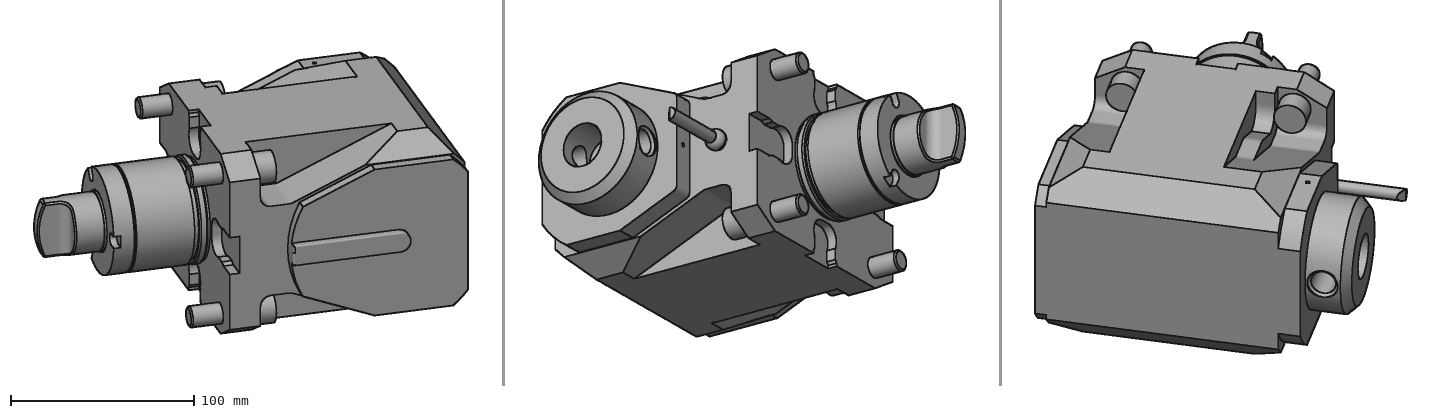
import cadquery as cq
import math


body_half_x = 65.0
body_half_z = 54.0
body_back = 134.0
flange_thick = 17.5
corner_run_x = 16.9
corner_angle = 30.0
back_chamfer = 15.7
side_half_z = body_half_z - corner_run_x * math.tan(math.radians(corner_angle))

slope_angle = 22.5
slope_start = 100.7
pocket_half_x = 37.3
pocket_floor_z = 26.8
pocket_floor_radius = 7.0
pocket_wall_radius = 6.0
slope_ratio = math.tan(math.radians(slope_angle))

ledge_inner_x = -26.8
ledge_z = 42.5
ledge_front = 54.0
ledge_low_z = 34.6
ledge_wall_y = 24.0
ledge_radius = 10.5

cut_margin = 11.2
overlap = 2.2

keyway_depth = 5.6
keyway_end = 31.5
keyway_end_half = 10.8
keyway_end_length = 16.9
keyway_end_radius = 8.3
keyway_neck_half = 10.0
keyway_mouth_half = 11.0
keyway_flare_start = 50.4
keyway_flare_end_z = 52.2
keyway_flare_end_x = 53.5

cross_axis_y = 90.1
plate_half_z = 43.8
left_plate_thick = 12.4
left_plate_front = 45.0
left_plate_radius = 52.0
left_plate_slant_start = 82.5
plate_corner_radius = 3.4
right_plate_thick = 6.3
right_plate_radius = 56.6
right_plate_centre_y = 89.7
right_plate_slant_start = 80.7
plate_pin_hole_dia = 2.1
plate_pin_hole_depth = 2.2

bar_width = 12.0
bar_thick = 4.3
bar_back = 100.3
bar_edge_radius = 1.0

knob_dia = 65.2
knob_length = 25.0
knob_chamfer = 5.2
knob_bore_dia = 25.2
knob_cross_dia = 14.0
knob_cross_mouth_dia = 17.0
knob_cross_offset = 9.7

pin_y = 26.3
pin_dia = 7.0
pin_tip_x = -111.0
pin_bevel_length = 4.0
pin_base_dia = 12.0
pin_base_offset = 1.8

screw_x = 47.0
screw_z = 42.0
screw_dia = 12.0
screw_reach = 18.0
screw_tip_chamfer = 1.0
head_dia = 18.0
head_height = 12.0

spindle_radius = 30.0
ring_radius = 30.1
neck_radius = 29.0
groove_radius = 27.7
neck_end = 1.3
ring_start = 2.2
ring_end = 6.3
ring_chamfer = 1.0
barrel_start = 9.2
vee_centre = 43.0
vee_depth = 0.7
collar_face = 55.3
shaft_dia = 33.0
shaft_radius = shaft_dia / 2
shaft_neck_radius = 16.2
shaft_neck_end = 56.5
shaft_clearance = 0.79
shaft_clearance_depth = 1.1
shaft_end = 73.3
shaft_chamfer = 1.0
notch_width = 7.0
notch_centre_radius = 25.5
notch_depth = 4.0
notch_count = 3

tang_thick = 7.9
tang_fillet = 6.0
tang_tip = 90.8
tang_shoulder = 86.3
tang_corner = 1.1


def box_between(x0, x1, y0, y1, z0, z1):
    size = (x1 - x0, y1 - y0, z1 - z0)
    return cq.Workplane("XY").box(*size, centered=False).translate((x0, y0, z0))


def x_prism(outline, x0, x1):
    """Extrude a closed (Y, Z) outline from x0 to x1."""
    return cq.Workplane("YZ").workplane(offset=x0).polyline(outline).close().extrude(x1 - x0)


def round_edge(solid, point, radius):
    return solid.edges(cq.NearestToPointSelector(point)).fillet(radius)


def x_cylinder(dia, x0, x1, y):
    return cq.Workplane("YZ", origin=(x0, y, 0)).circle(dia / 2).extrude(x1 - x0)


def housing():
    block = box_between(-body_half_x, body_half_x, 0, body_back, -body_half_z, body_half_z)
    block = block.faces(">Y").edges("|X").chamfer(back_chamfer)
    flat_half_x = body_half_x - corner_run_x
    octagon = [
        (-flat_half_x, body_half_z),
        (flat_half_x, body_half_z),
        (body_half_x, side_half_z),
        (body_half_x, -side_half_z),
        (flat_half_x, -body_half_z),
        (-flat_half_x, -body_half_z),
        (-body_half_x, -side_half_z),
        (-body_half_x, side_half_z),
    ]
    envelope = cq.Workplane("XZ").polyline(octagon).close().extrude(-body_back)
    return block.intersect(envelope)


def slope_y(z):
    """Y where the main pocket slope reaches height z."""
    return slope_start - (body_half_z - z) / slope_ratio


def relief_pocket():
    """Cutter for the upper +X pocket."""
    top = body_half_z + cut_margin
    outer = body_half_x + cut_margin
    middle = (pocket_half_x + outer) / 2
    floor_back = slope_y(pocket_floor_z)
    outline = [
        (slope_y(top), top),
        (floor_back, pocket_floor_z),
        (flange_thick, pocket_floor_z),
        (flange_thick, top),
    ]
    cutter = x_prism(outline, pocket_half_x, outer)
    cutter = round_edge(cutter, (middle, floor_back, pocket_floor_z), pocket_floor_radius)
    return round_edge(cutter, (middle, flange_thick, pocket_floor_z), pocket_wall_radius)


def ledge_pocket():
    """Cutter for the stepped ledge, overlapping the upper -X pocket."""
    top = body_half_z + cut_margin
    outer = -pocket_half_x - overlap
    middle = (outer + ledge_inner_x) / 2
    ledge_back = slope_y(ledge_z)
    low_back = ledge_front - (ledge_z - ledge_low_z) / slope_ratio
    outline = [
        (slope_y(top), top),
        (ledge_back, ledge_z),
        (ledge_front, ledge_z),
        (low_back, ledge_low_z),
        (ledge_wall_y, ledge_low_z),
        (ledge_wall_y, top),
    ]
    cutter = x_prism(outline, outer, ledge_inner_x)
    cutter = round_edge(cutter, (middle, ledge_back, ledge_z), ledge_radius)
    cutter = round_edge(cutter, (middle, ledge_front, ledge_z), ledge_radius)
    return round_edge(cutter, (middle, ledge_wall_y, ledge_low_z), ledge_radius)


def keyway(flare_end, reach, turn):
    """Cutter for one keyway, drawn along +X and turned about the spindle axis."""
    half_outline = [
        (keyway_end + keyway_end_radius, keyway_neck_half),
        (keyway_flare_start, keyway_neck_half),
        (flare_end, keyway_mouth_half),
        (reach + cut_margin, keyway_mouth_half),
    ]
    outline = half_outline + [(x, -z) for x, z in reversed(half_outline)]
    cutter = cq.Workplane("XZ").polyline(outline).close().extrude(-keyway_depth)
    end_x = keyway_end + keyway_end_length
    rounded_end = box_between(keyway_end, end_x, 0, keyway_depth, -keyway_end_half, keyway_end_half)
    cutter = cutter.union(rounded_end.edges("|Y").fillet(keyway_end_radius))
    return cutter.rotate((0, 0, 0), (0, 1, 0), turn)


def left_plate():
    x0 = -body_half_x - left_plate_thick
    x1 = -body_half_x
    front_half_z = plate_half_z - (left_plate_slant_start - left_plate_front) * slope_ratio
    outline = [
        (body_back, plate_half_z),
        (left_plate_slant_start, plate_half_z),
        (left_plate_front, front_half_z),
        (left_plate_front, -front_half_z),
        (left_plate_slant_start, -plate_half_z),
        (body_back, -plate_half_z),
    ]
    plate = x_prism(outline, x0, x1)
    plate = plate.faces("<Y").edges("|X").fillet(plate_corner_radius)
    front_part = box_between(x0, x1, 0, cross_axis_y, -body_half_z, body_half_z)
    rounding = x_cylinder(2 * left_plate_radius, x0, x1, cross_axis_y)
    plate = plate.intersect(rounding.union(front_part))
    middle_x = (x0 + x1) / 2
    hole_radius = plate_pin_hole_dia / 2
    top_hole = cq.Workplane("XY", origin=(middle_x, cross_axis_y, plate_half_z))
    front_hole = cq.Workplane("XZ", origin=(middle_x, left_plate_front, 0))
    plate = plate.cut(top_hole.circle(hole_radius).extrude(-plate_pin_hole_depth))
    return plate.cut(front_hole.circle(hole_radius).extrude(-plate_pin_hole_depth))


def right_plate_rounding(x0, x1):
    return x_cylinder(2 * right_plate_radius, x0, x1, right_plate_centre_y)


def right_plate():
    x0 = body_half_x
    x1 = x0 + right_plate_thick
    front = right_plate_centre_y - right_plate_radius
    slant_drop = (right_plate_slant_start - front) * slope_ratio
    outline = [
        (body_back, plate_half_z),
        (right_plate_slant_start, plate_half_z),
        (front, plate_half_z - slant_drop),
        (front, slant_drop - plate_half_z),
        (right_plate_slant_start, -plate_half_z),
        (body_back, -plate_half_z),
    ]
    return x_prism(outline, x0, x1).intersect(right_plate_rounding(x0, x1))


def plate_bar():
    x0 = body_half_x + right_plate_thick
    x1 = x0 + bar_thick
    half = bar_width / 2
    front = right_plate_centre_y - right_plate_radius
    bar = box_between(x0, x1, front, bar_back - half, -half, half)
    bar = bar.union(x_cylinder(bar_width, x0, x1, bar_back - half))
    bar = bar.intersect(right_plate_rounding(x0, x1))
    return bar.faces(">X").edges().fillet(bar_edge_radius)


def knob():
    inner_x = -body_half_x - left_plate_thick
    outer_x = inner_x - knob_length
    body = x_cylinder(knob_dia, outer_x, inner_x, cross_axis_y)
    body = body.faces("<X").edges().chamfer(knob_chamfer)
    body = body.cut(x_cylinder(knob_bore_dia, outer_x, inner_x, cross_axis_y))
    radius = knob_dia / 2
    mouth = knob_cross_mouth_dia / 2
    rim = math.sqrt(radius**2 - mouth**2)
    sink = mouth - knob_cross_dia / 2
    half_profile = [
        (0, 0),
        (knob_cross_dia / 2, 0),
        (knob_cross_dia / 2, rim - sink),
        (mouth, rim),
        (mouth, radius),
        (0, radius),
    ]
    half_hole = cq.Workplane("XY").polyline(half_profile).close().revolve(360, (0, 0), (0, 1))
    hole = half_hole.union(half_hole.mirror("XZ"))
    return body.cut(hole.translate((inner_x - knob_cross_offset, cross_axis_y, 0)))


def coolant_pin():
    base = cq.Workplane("XY").sphere(pin_base_dia / 2)
    base = base.translate((-body_half_x - pin_base_offset, pin_y, 0))
    pin = x_cylinder(pin_dia, pin_tip_x, -body_half_x, pin_y)
    edge_y = pin_y + pin_dia / 2
    bevel = cq.Workplane("XY").polyline([
        (pin_tip_x, pin_y),
        (pin_tip_x, edge_y),
        (pin_tip_x + pin_bevel_length, edge_y),
    ]).close().extrude(pin_dia, both=True)
    return base.union(pin.cut(bevel))


def screw():
    shank = cq.Workplane("XZ").circle(screw_dia / 2).extrude(screw_reach)
    shank = shank.faces("<Y").edges().chamfer(screw_tip_chamfer)
    head = cq.Workplane("XZ", origin=(0, flange_thick, 0)).circle(head_dia / 2).extrude(-head_height)
    return shank.union(head)


def spindle():
    clearance_radius = shaft_radius + shaft_clearance
    clearance_y = shaft_clearance_depth - collar_face
    profile = [
        (0, overlap),
        (neck_radius, overlap),
        (neck_radius, -neck_end),
        (ring_radius, -ring_start),
        (ring_radius, ring_chamfer - ring_end),
        (ring_radius - ring_chamfer, -ring_end),
        (groove_radius, -ring_end),
        (groove_radius, -barrel_start),
        (spindle_radius, -barrel_start),
        (spindle_radius, vee_depth - vee_centre),
        (spindle_radius - vee_depth, -vee_centre),
        (spindle_radius, -vee_depth - vee_centre),
        (spindle_radius, -collar_face),
        (clearance_radius, -collar_face),
        (clearance_radius, clearance_y),
        (0, clearance_y),
    ]
    body = cq.Workplane("XY").polyline(profile).close().revolve(360, (0, 0), (0, 1))
    for i in range(notch_count):
        body = body.cut(collar_notch().rotate((0, 0, 0), (0, 1, 0), i * 360 / notch_count))
    return body


def collar_notch():
    half = notch_width / 2
    y0 = -collar_face
    y1 = y0 + notch_depth
    slot = box_between(notch_centre_radius, spindle_radius + cut_margin, y0, y1, -half, half)
    end = cq.Workplane("XZ", origin=(notch_centre_radius, y0, 0)).circle(half)
    return slot.union(end.extrude(-notch_depth))


def drive_shaft():
    """Round shaft whose end is cut back on both sides to a flat tang with a curved tip."""
    start = overlap - collar_face
    neck = cq.Workplane("XZ", origin=(0, start, 0)).circle(shaft_neck_radius)
    neck = neck.extrude(shaft_neck_end + start)
    shaft = cq.Workplane("XZ", origin=(0, -shaft_neck_end, 0)).circle(shaft_radius)
    shaft = shaft.extrude(tang_tip - shaft_neck_end)
    corner_z = shaft_radius - tang_corner
    corner_y = -tang_shoulder - tang_corner
    tip = (
        cq.Workplane("YZ")
        .moveTo(start, -shaft_radius)
        .lineTo(-tang_shoulder, -shaft_radius)
        .lineTo(corner_y, -corner_z)
        .threePointArc((-tang_tip, 0), (corner_y, corner_z))
        .lineTo(-tang_shoulder, shaft_radius)
        .lineTo(start, shaft_radius)
        .close()
        .extrude(shaft_radius, both=True)
    )
    shaft = shaft.intersect(tip)
    half = tang_thick / 2
    outer = shaft_radius + cut_margin
    fillet_end_x = half + tang_fillet
    mid_offset = tang_fillet * (1 - math.sqrt(0.5))
    side = (
        cq.Workplane("XY")
        .moveTo(half, -tang_tip - cut_margin)
        .lineTo(half, -shaft_end - tang_fillet)
        .threePointArc((half + mid_offset, -shaft_end - mid_offset), (fillet_end_x, -shaft_end))
        .lineTo(outer, -shaft_end)
        .lineTo(outer, -tang_tip - cut_margin)
        .close()
        .extrude(outer, both=True)
    )
    shaft = shaft.cut(side).cut(side.mirror("YZ"))
    flat_middle_y = -(shaft_end + tang_fillet + tang_tip) / 2
    for x in (-half, half):
        flat = shaft.faces(cq.NearestToPointSelector((x, flat_middle_y, 0)))
        shaft = flat.edges("not |Z").chamfer(shaft_chamfer)
    return shaft.union(neck)


result = housing()

pocket = relief_pocket()
for cutter in (pocket, pocket.mirror("YZ")):
    result = result.cut(cutter).cut(cutter.mirror("XY"))
result = result.cut(ledge_pocket())

for turn in (0, 180):
    result = result.cut(keyway(keyway_flare_end_x, body_half_x, turn))
    result = result.cut(keyway(keyway_flare_end_z, body_half_z, turn + 90))

features = (left_plate(), right_plate(), plate_bar(), knob(), coolant_pin(), spindle(), drive_shaft())
for feature in features:
    result = result.union(feature)

for x in (-screw_x, screw_x):
    for z in (-screw_z, screw_z):
        result = result.union(screw().translate((x, 0, z)))